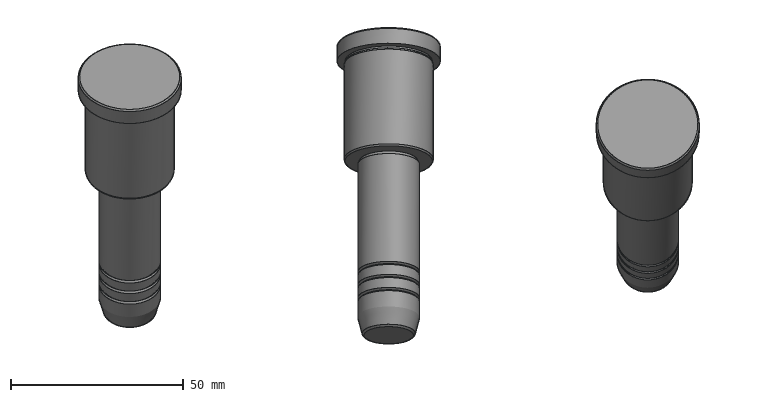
import cadquery as cq

total_length = 90.0
head_radius = 30.0 / 2
body_radius = 13.0
shaft_radius = 9.0

head_height = 5.0
body_bottom_z = 54.0
edge_chamfer = 0.45
body_chamfer_height = 0.5
body_chamfer_depth = 0.3
undercut_height = 0.5

relief_height = 1.0
relief_depth = 0.5

taper_top_z = 5.5
tip_radius = 7.7
tip_chamfer = 0.5

groove_count = 3
groove_pitch = 4.05
first_groove_z = 11.0
groove_width = 1.0
groove_depth = 0.5

head_bottom_z = total_length - head_height
undercut_bottom_z = head_bottom_z - undercut_height
undercut_radius = body_radius - body_chamfer_depth


def make_pin():
    """Revolve the half profile, listed as (radius, height) from tip to head."""
    profile = [
        (0, 0),
        (tip_radius - tip_chamfer, 0),
        (tip_radius, tip_chamfer),
        (shaft_radius, taper_top_z),
        (shaft_radius, body_bottom_z - relief_height),
        (shaft_radius - relief_depth, body_bottom_z),
        (body_radius - body_chamfer_depth, body_bottom_z),
        (body_radius, body_bottom_z + body_chamfer_height),
        (body_radius, undercut_bottom_z - body_chamfer_height),
        (undercut_radius, undercut_bottom_z),
        (undercut_radius, head_bottom_z),
        (head_radius, head_bottom_z),
        (head_radius, total_length - edge_chamfer),
        (head_radius - edge_chamfer, total_length),
        (0, total_length),
    ]
    return cq.Workplane("XZ").polyline(profile).close().revolve(360, (0, 0), (0, 1))


def make_groove_cutter(center_z):
    """Ring with a triangular section whose point faces the axis."""
    half_width = groove_width / 2
    section = [
        (shaft_radius - groove_depth, center_z),
        (shaft_radius, center_z + half_width),
        (shaft_radius + groove_depth, center_z + half_width),
        (shaft_radius + groove_depth, center_z - half_width),
        (shaft_radius, center_z - half_width),
    ]
    return cq.Workplane("XZ").polyline(section).close().revolve(360, (0, 0), (0, 1))


result = make_pin()
for index in range(groove_count):
    result = result.cut(make_groove_cutter(first_groove_z + index * groove_pitch))